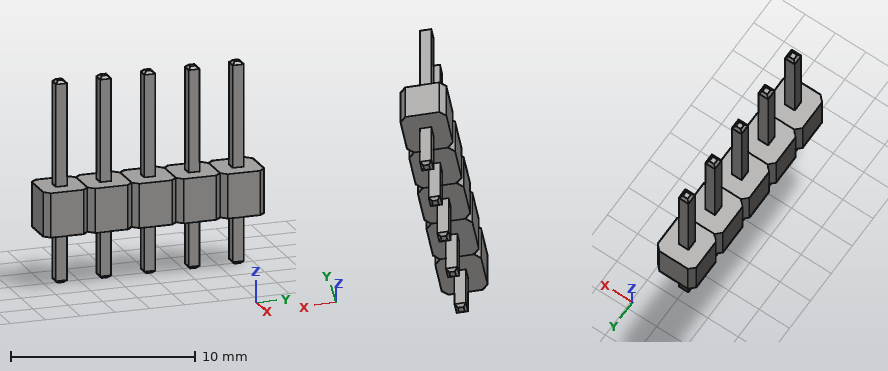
import cadquery as cq

cell_count = 5
row_length = 12.7
pitch = row_length / cell_count

block_side = pitch
block_height = pitch
corner_chamfer = 0.33

pin_width = 0.64
pin_above_block = 6.01
pin_below_block = 3.0
tip_chamfer = pin_width / 4


def make_block():
    """Housing block standing on Z = 0, with its vertical edges chamfered."""
    block = cq.Workplane("XY").box(block_side, block_side, block_height, centered=(True, True, False))
    return block.edges("|Z").chamfer(corner_chamfer)


def make_pin():
    """Square pin running through the block, chamfered at both ends."""
    pin_length = pin_below_block + block_height + pin_above_block
    pin = (
        cq.Workplane("XY")
        .workplane(offset=-pin_below_block)
        .rect(pin_width, pin_width)
        .extrude(pin_length)
    )
    return pin.faces("<Z or >Z").chamfer(tip_chamfer)


def make_header_cell(y_center):
    """One header cell: block and pin as a single solid, centred at the given Y."""
    return make_block().union(make_pin()).translate((0, y_center, 0))


first_y = -(row_length - pitch) / 2
header_cells = [make_header_cell(first_y + index * pitch) for index in range(cell_count)]

result = cq.Compound.makeCompound([cell.solids().val() for cell in header_cells])